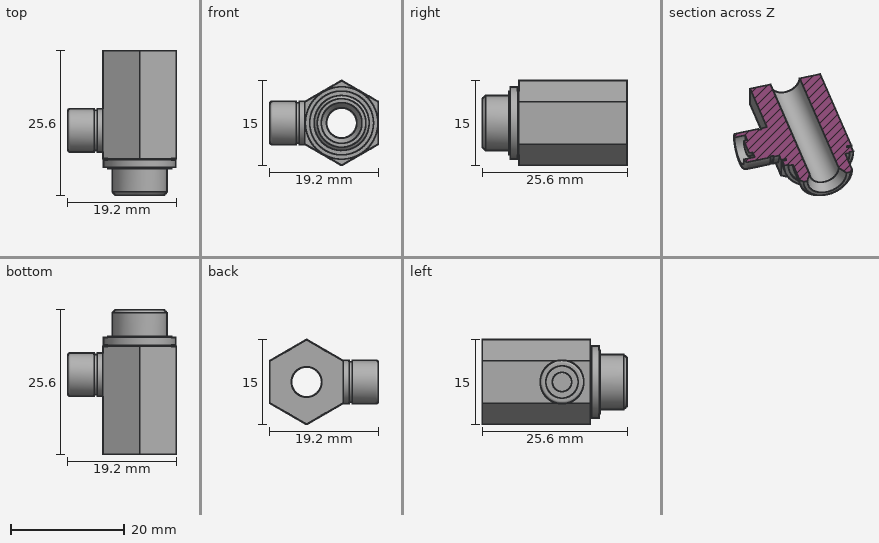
import cadquery as cq
import math

across_flats = 13.0
total_length = 25.6
hex_corner_diameter = across_flats / math.cos(math.pi / 6)

spigot_diameter = 9.73
spigot_length = 4.7
spigot_tip_diameter = 8.58
spigot_chamfer_length = 0.61
ring_diameter = 12.8
ring_length = 1.33
ring_step_diameter = 11.3
ring_step_length = 0.23
ring_stack_length = ring_length + 2 * ring_step_length
hex_length = total_length - spigot_length - ring_stack_length

bore_diameter = 5.3
mouth_diameter = 7.2
mouth_half_angle = 30.0
mouth_depth = (mouth_diameter - bore_diameter) / 2 / math.tan(math.radians(mouth_half_angle))

overall_width = 19.2
tube_diameter = 7.7
tube_length = overall_width - across_flats
tube_offset = 5.0
tube_collar_length = 1.02
groove_diameter = 7.2
groove_width = 0.5
tip_radius = 0.49
socket_diameter = 5.7
socket_depth = 1.92

boss_diameter = 3.4
boss_height = 0.65
boss_edge_radius = 0.2


def turned(diameter, start_y, length):
    """Cylinder on the Y axis, running from start_y toward +Y."""
    return cq.Workplane("XZ", origin=(0, start_y, 0)).circle(diameter / 2).extrude(-length)


def make_body():
    """Hexagon with two vertical flats, its front face on Y = 0."""
    return (
        cq.Workplane("XZ")
        .transformed(rotate=(0, 0, 30))
        .polygon(6, hex_corner_diameter)
        .extrude(-hex_length)
    )


def make_ring():
    """Sealing ring with a thin step on each side."""
    step = turned(ring_step_diameter, -ring_stack_length, ring_stack_length)
    return step.union(turned(ring_diameter, -ring_stack_length + ring_step_length, ring_length))


def make_spigot():
    """Front spigot with a chamfered tip, turned about the Y axis."""
    tip_y = -ring_stack_length - spigot_length
    return (
        cq.Workplane("XY")
        .moveTo(0, tip_y)
        .lineTo(spigot_tip_diameter / 2, tip_y)
        .lineTo(spigot_diameter / 2, tip_y + spigot_chamfer_length)
        .lineTo(spigot_diameter / 2, 0)
        .lineTo(0, 0)
        .close()
        .revolve(360, (0, 0, 0), (0, 1, 0))
    )


def make_bore():
    """Through bore with a conical mouth at the spigot tip."""
    tip_y = -ring_stack_length - spigot_length
    return (
        cq.Workplane("XY")
        .moveTo(0, tip_y)
        .lineTo(mouth_diameter / 2, tip_y)
        .lineTo(bore_diameter / 2, tip_y + mouth_depth)
        .lineTo(bore_diameter / 2, hex_length)
        .lineTo(0, hex_length)
        .close()
        .revolve(360, (0, 0, 0), (0, 1, 0))
    )


def side_cylinder(diameter, start, length):
    """Cylinder on the tube axis; start is the distance outward from the hexagon flat."""
    return (
        cq.Workplane("YZ", origin=(-across_flats / 2 - start, tube_offset, 0))
        .circle(diameter / 2)
        .extrude(-length)
    )


def make_side_tube():
    """Grooved tube with a rounded tip, a blind socket and a central boss."""
    tube = side_cylinder(tube_diameter, 0, tube_length)
    tube = tube.faces("<X").edges().fillet(tip_radius)
    groove = side_cylinder(tube_diameter, tube_collar_length, groove_width).cut(
        side_cylinder(groove_diameter, tube_collar_length, groove_width)
    )
    socket_floor = tube_length - socket_depth
    socket = side_cylinder(socket_diameter, socket_floor, socket_depth)
    boss = side_cylinder(boss_diameter, socket_floor, boss_height)
    boss = boss.faces("<X").edges().fillet(boss_edge_radius)
    return tube.cut(groove).cut(socket).union(boss)


outside = make_body().union(make_ring()).union(make_spigot()).union(make_side_tube())
result = outside.cut(make_bore())